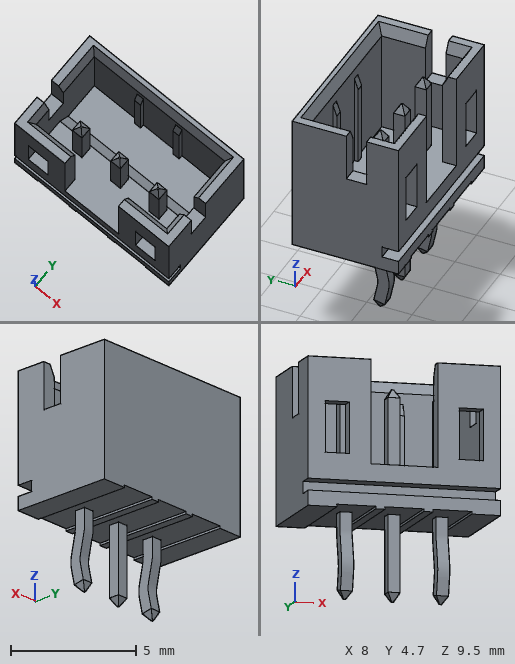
import cadquery as cq
import math


pin_count = 3
pin_pitch = 1.995
pin_size = 0.5
pin_tip_size = 0.08
pin_tip_length = 0.36
pin_top = 5.225
pin_tail = 3.42

kink_start = 0.66
kink_angle = 12.0
kink_inner_radius = 1.0
kink_upper_length = 0.91
kink_lower_length = 0.74

housing_length = 8.0
housing_width = 4.7
housing_height = 9.5 - pin_tail
front_y = -1.75
back_y = front_y + housing_width

side_wall = 0.62
front_wall = 0.62
back_wall = 0.46
floor_front = 1.82
floor_back = 1.12
ramp_start = 2.1
ramp_end = 2.61
flare_width = 0.25
flare_depth = 0.48
cavity_length = housing_length - 2 * side_wall
cavity_front = front_y + front_wall
cavity_back = back_y - back_wall

front_gap_width = 2.77
window_width = 1.01
window_height = 2.1
window_offset = 2.78
window_bottom = 2.19
side_slot_width = 0.9
side_slot_start = 1.41
side_slot_bottom = 3.98

groove_bottom = 0.62
groove_height = 0.48
groove_depth = 0.73
recess_width = 1.615
recess_depth = 0.1

rib_width = 0.32
rib_depth = 0.17
rib_top = 5.15
rib_slope_height = 0.48

pin_xs = [(i - (pin_count - 1) / 2) * pin_pitch for i in range(pin_count)]
rib_xs = [x + pin_pitch / 2 for x in pin_xs[:-1]]


def block(length, width, height, x, y, z):
    """Box centred on x, with its front face at y and its underside at z."""
    box = cq.Workplane("XY").box(length, width, height, centered=(True, False, False))
    return box.translate((x, y, z))


def side_profile(points, length, x):
    """Outline of (y, z) points extruded along X, centred on x."""
    outline = cq.Workplane("YZ").polyline(points).close()
    return outline.extrude(length / 2, both=True).translate((x, 0, 0))


def make_cavity():
    """Inside of the housing: a floor that ramps down to the back and a mouth that flares outward."""
    pocket = side_profile(
        [
            (cavity_front, housing_height),
            (cavity_front, floor_front),
            (front_y + ramp_start, floor_front),
            (front_y + ramp_end, floor_back),
            (cavity_back, floor_back),
            (cavity_back, housing_height),
        ],
        cavity_length,
        0,
    )
    cavity_width = cavity_back - cavity_front
    mouth = (
        cq.Workplane("XY", origin=(0, (cavity_front + cavity_back) / 2, housing_height - flare_depth))
        .rect(cavity_length, cavity_width)
        .workplane(offset=flare_depth)
        .rect(cavity_length + 2 * flare_width, cavity_width + 2 * flare_width)
        .loft(ruled=True)
    )
    return pocket.union(mouth)


def make_rib(x):
    """Rib up the back wall with a sloped top."""
    rib_front = cavity_back - rib_depth
    return side_profile(
        [
            (cavity_back, floor_back),
            (rib_front, floor_back),
            (rib_front, rib_top - rib_slope_height),
            (cavity_back, rib_top),
        ],
        rib_width,
        x,
    )


def make_housing():
    body = block(housing_length, housing_width, housing_height, 0, front_y, 0)
    body = body.cut(make_cavity())

    body = body.cut(block(front_gap_width, front_wall, housing_height, 0, front_y, floor_front))

    for x in (-window_offset, window_offset):
        body = body.cut(block(window_width, front_wall, window_height, x, front_y, window_bottom))

    slot_y = front_y + side_slot_start
    body = body.cut(block(housing_length, side_slot_width, housing_height, 0, slot_y, side_slot_bottom))

    body = body.cut(block(housing_length, groove_depth, groove_height, 0, front_y, groove_bottom))

    for x in rib_xs:
        body = body.union(make_rib(x))

    for x in pin_xs:
        body = body.cut(block(recess_width, housing_width, recess_depth, x, front_y, 0))
        body = body.cut(block(pin_size, pin_size, housing_height, x, -pin_size / 2, 0))
    return body


def make_tip(x, y, z, direction):
    """Tapered end that grows from the pin's end face along the direction."""
    end_face = cq.Plane(origin=(x, y, z), xDir=(1, 0, 0), normal=direction)
    return (
        cq.Workplane(end_face)
        .rect(pin_size, pin_size)
        .workplane(offset=pin_tip_length)
        .rect(pin_tip_size, pin_tip_size)
        .loft(ruled=True)
    )


def make_shank(x, bottom):
    """Straight square length of a pin with its upper tip."""
    shoulder = pin_top - pin_tip_length
    shank = block(pin_size, pin_size, shoulder - bottom, x, -pin_size / 2, bottom)
    return shank.union(make_tip(x, 0, shoulder, (0, 0, 1)))


def make_straight_pin(x):
    bottom = pin_tip_length - pin_tail
    return make_shank(x, bottom).union(make_tip(x, 0, bottom, (0, 0, -1)))


def make_kinked_pin(x):
    """Pin whose tail leans to the front, bends back and ends in a tip in line with its last leg."""
    angle = math.radians(kink_angle)
    radius = kink_inner_radius + pin_size / 2
    lean_y = math.sin(angle)
    lean_z = math.cos(angle)
    bend_run = radius * lean_y
    bend_shift = radius * (1 - lean_z)

    upper_y = -bend_shift
    upper_z = -kink_start - bend_run
    bend_y = upper_y - kink_upper_length * lean_y
    bend_z = upper_z - kink_upper_length * lean_z
    lower_z = bend_z - 2 * bend_run
    end_y = bend_y + kink_lower_length * lean_y
    end_z = lower_z - kink_lower_length * lean_z
    centreline = (
        cq.Workplane("YZ", origin=(x, 0, 0))
        .moveTo(0, -kink_start)
        .radiusArc((upper_y, upper_z), radius)
        .lineTo(bend_y, bend_z)
        .radiusArc((bend_y, lower_z), -radius)
        .lineTo(end_y, end_z)
    )
    tail = cq.Workplane("XY", origin=(x, 0, -kink_start)).rect(pin_size, pin_size).sweep(centreline)
    tip = make_tip(x, end_y, end_z, (0, lean_y, -lean_z))
    return make_shank(x, -kink_start).union(tail).union(tip)


housing = make_housing()
outer_xs = (pin_xs[0], pin_xs[-1])
pins = [make_kinked_pin(x) if x in outer_xs else make_straight_pin(x) for x in pin_xs]

result = cq.Compound.makeCompound([housing.solids().val(), *[pin.solids().val() for pin in pins]])